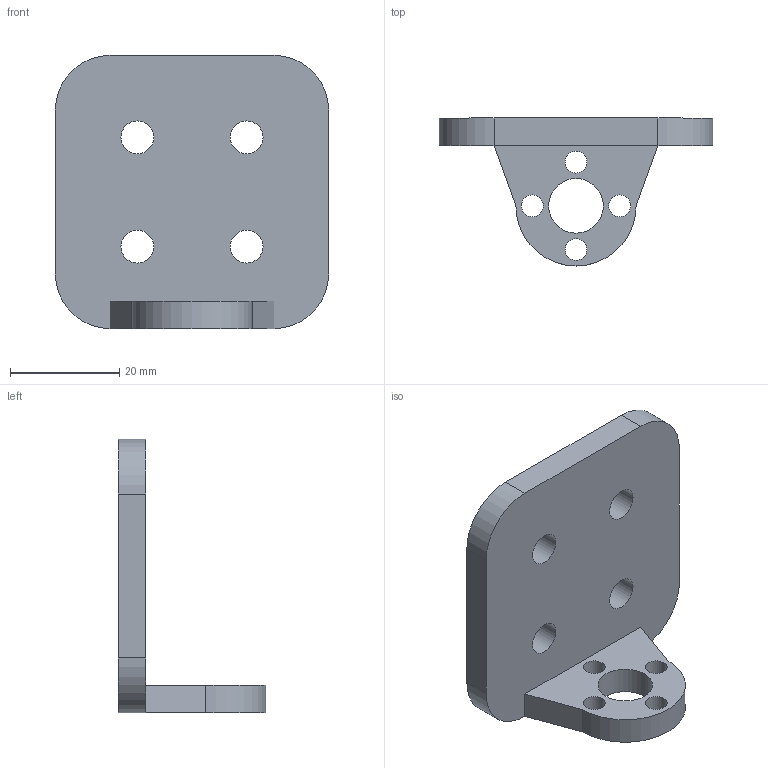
import cadquery as cq

plate_size = 50.0
thickness = 5.0
corner_radius = 10.0
plate_hole_diameter = 6.0
plate_hole_spacing = 20.0

lug_end_radius = 11.0
lug_center_reach = 11.0
lug_root_width = plate_size - 2 * corner_radius
bore_diameter = 10.0
bolt_hole_diameter = 4.0
bolt_circle_radius = 8.0
bolt_hole_count = 4



def make_plate():
    """Square plate with rounded corners and a square pattern of four through holes."""
    plate = (
        cq.Workplane("XY")
        .box(plate_size, thickness, plate_size, centered=(True, False, False))
        .edges("|Y")
        .fillet(corner_radius)
    )
    holes = (
        cq.Workplane("XZ", origin=(0, 0, plate_size / 2))
        .rarray(plate_hole_spacing, plate_hole_spacing, 2, 2)
        .circle(plate_hole_diameter / 2)
        .extrude(-thickness)
    )
    return plate.cut(holes)


def make_lug():
    """Tapered lug with a half-round end, a central bore and a ring of bolt holes."""
    half_root = lug_root_width / 2
    lug = (
        cq.Workplane("XY")
        .moveTo(-half_root, 0)
        .lineTo(-lug_end_radius, -lug_center_reach)
        .threePointArc(
            (0, -lug_center_reach - lug_end_radius),
            (lug_end_radius, -lug_center_reach),
        )
        .lineTo(half_root, 0)
        .close()
        .extrude(thickness)
    )
    bore_plane = cq.Workplane("XY", origin=(0, -lug_center_reach, 0))
    bore = bore_plane.circle(bore_diameter / 2).extrude(thickness)
    bolt_holes = (
        bore_plane.polarArray(bolt_circle_radius, 0, 360, bolt_hole_count)
        .circle(bolt_hole_diameter / 2)
        .extrude(thickness)
    )
    return lug.cut(bore).cut(bolt_holes)


result = make_plate().union(make_lug())